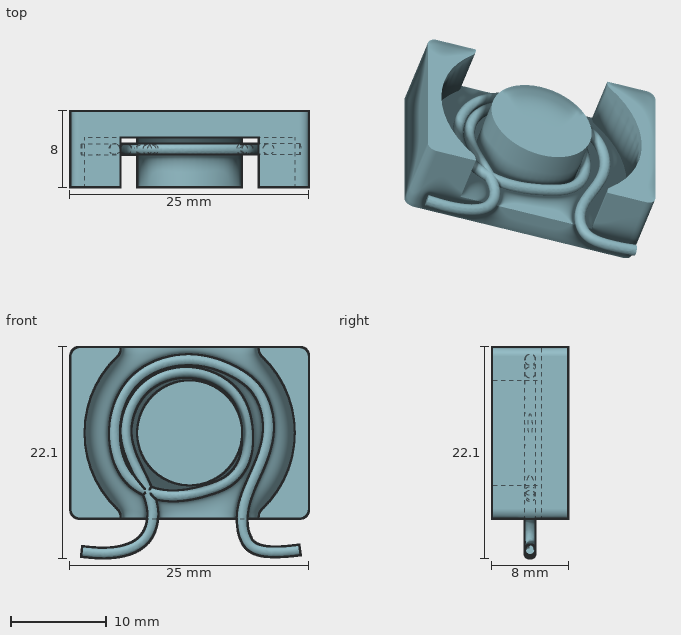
import cadquery as cq

CASE_WIDTH = 24.99
CASE_DEPTH = 8.0
CASE_HEIGHT = 18.0
CORNER_RADIUS = 1.0

BACK_WALL = 2.8
CHAMBER_RADIUS = 11.0
SLOT_WIDTH = 14.45
SLOT_EDGE_RADIUS = 1.0

CORE_RADIUS = 5.5

WIRE_RADIUS = 0.575

LEFT_LEAD = [
    (-11.31, -12.40),
    (-8.75, -12.57),
    (-4.68, -11.05),
    (-3.85, -8.60),
    (-4.40, -6.15),
]
LEFT_LEAD_DIRECTION = (1.0, -0.12)

LEFT_LEAD_SHIFT = 0.02

INNER_TURN = [
    (-6.65, 0.00),
    (-4.95, 4.44),
    (-0.26, 6.32),
    (4.77, 3.95),
    (6.06, -0.30),
    (5.43, -3.48),
    (3.98, -5.07),
    (2.10, -5.90),
    (-1.75, -6.60),
]

OUTER_TURN = [
    INNER_TURN[-1],
    (-4.47, -6.07),
    (-5.91, -5.16),
    (-7.87, 0.00),
    (-5.62, 5.60),
    (-0.26, 7.65),
    (4.47, 6.48),
    (6.84, 4.72),
    (8.24, 0.60),
    (7.26, -3.48),
    (5.50, -9.44),
    (6.40, -11.81),
    (8.94, -12.45),
    (11.55, -12.24),
]
RIGHT_LEAD_DIRECTION = (1.0, 0.14)

JOINT_DIRECTION = (-1.0, 0.0)


def make_case():
    block = cq.Workplane("XY").box(CASE_WIDTH, CASE_DEPTH, CASE_HEIGHT)
    return block.edges("|Y").fillet(CORNER_RADIUS)


def make_chamber():
    """Space in front of the back wall: a disc and a vertical slot with eased meeting edges."""
    depth = CASE_DEPTH - BACK_WALL
    slot_height = 2 * CHAMBER_RADIUS
    front = cq.Workplane("XZ", origin=(0, -CASE_DEPTH / 2, 0))
    disc = front.circle(CHAMBER_RADIUS).extrude(-depth)
    slot = front.rect(SLOT_WIDTH, slot_height).extrude(-depth)
    reach_x = SLOT_WIDTH / 2 + SLOT_EDGE_RADIUS
    reach_z = CASE_HEIGHT / 2
    meeting_edges = cq.selectors.BoxSelector(
        (-reach_x, -CASE_DEPTH, -reach_z),
        (reach_x, CASE_DEPTH, reach_z),
    )
    return disc.union(slot).edges("|Y").edges(meeting_edges).fillet(SLOT_EDGE_RADIUS)


def make_core():
    front = cq.Workplane("XZ", origin=(0, -CASE_DEPTH / 2, 0))
    return front.circle(CORE_RADIUS).extrude(-CASE_DEPTH)


def at_depth(points, forward):
    """Place (x, z) points at a distance in front of the mid-depth plane."""
    return [cq.Vector(x, -forward, z) for (x, z) in points]


def make_wire(points, start_direction, end_direction):
    """Round wire swept along a smooth curve, given its (x, z) end directions."""
    (start_tangent, end_tangent) = at_depth([start_direction, end_direction], 0)
    path = cq.Edge.makeSpline(points, tangents=[start_tangent, end_tangent], scale=False)
    profile = cq.Plane(origin=points[0], xDir=(0, 1, 0), normal=start_tangent)
    return cq.Workplane(profile).circle(WIRE_RADIUS).sweep(cq.Workplane(path))


inner_path = at_depth(LEFT_LEAD, LEFT_LEAD_SHIFT) + at_depth(INNER_TURN, 0)
outer_path = at_depth(OUTER_TURN, 0)
inner_wire = make_wire(inner_path, LEFT_LEAD_DIRECTION, JOINT_DIRECTION)
outer_wire = make_wire(outer_path, JOINT_DIRECTION, RIGHT_LEAD_DIRECTION)
wire = inner_wire.union(outer_wire)
result = make_case().cut(make_chamber()).union(make_core()).union(wire)